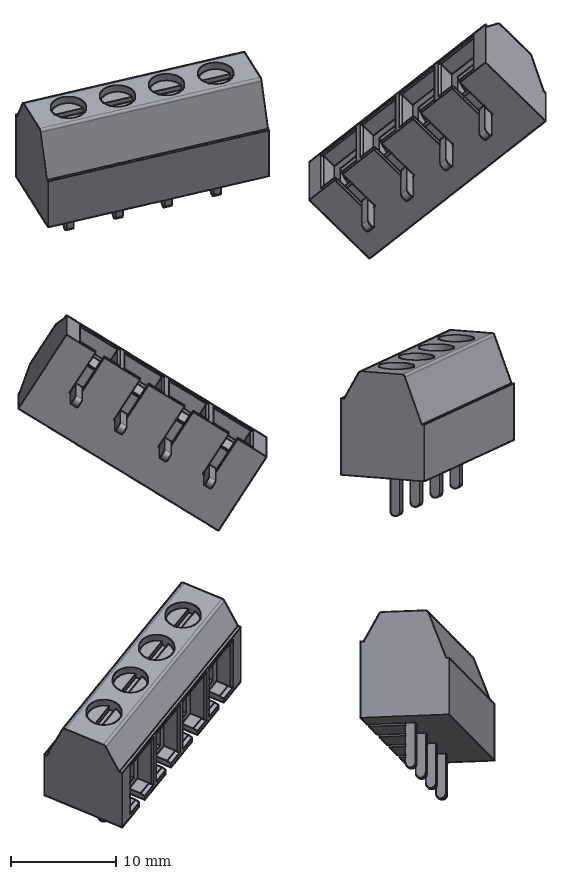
import cadquery as cq
import math

length = 22.5
width = 8.6
height = 10.2
poles = 4
pitch = 5.0

wire_ledge_z = 7.4
rear_ledge_z = 5.5
wire_ledge_width = 0.32
rear_ledge_width = 0.27
top_left_x = -2.38
top_right_x = 2.2
top_edge_radius = 0.34

pocket_width = 4.12
pocket_floor_z = 0.7
pocket_top_z = 6.8
pocket_depth = 1.69
wall_flare = 0.2
wall_flare_depth = 0.2
roof_flare = 0.2
roof_flare_depth = 0.14
floor_flare = 0.15
floor_flare_depth = 0.43

chamber_width = 2.63
chamber_floor_z = 1.42
chamber_top_z = 5.45
guide_bottom_z = 3.8
guide_radius = 2.5

terminal_x = -0.11
bore_diameter = 3.4
bore_depth = 2.02
screw_diameter = 3.3
screw_recess = 0.76
screw_slot_width = 0.68
screw_slot_depth = 0.52

pin_width = 0.97
pin_thickness = 0.75
pin_drop = 4.3
groove_width = 0.97

wire_face_x = -width / 2
rear_face_x = width / 2
terminal_places = [(i - (poles - 1) / 2) * pitch for i in range(poles)]


def block(x_min, x_max, y_size, z_min, z_max):
    """Box centred on Y = 0 between the given X and Z limits."""
    box = cq.Workplane("XY").box(x_max - x_min, y_size, z_max - z_min, centered=(False, True, False))
    return box.translate((x_min, 0, z_min))


def make_housing():
    profile = [
        (wire_face_x, 0),
        (wire_face_x, wire_ledge_z),
        (wire_face_x + wire_ledge_width, wire_ledge_z),
        (top_left_x, height),
        (top_right_x, height),
        (rear_face_x - rear_ledge_width, rear_ledge_z),
        (rear_face_x, rear_ledge_z),
        (rear_face_x, 0),
    ]
    housing = cq.Workplane("XZ").polyline(profile).close().extrude(length / 2, both=True)
    return housing.faces(">Z").edges("|Y").fillet(top_edge_radius)


def make_pocket():
    back_x = wire_face_x + pocket_depth
    half_width = pocket_width / 2
    side_outline = [
        (wire_face_x, pocket_floor_z - floor_flare),
        (wire_face_x + floor_flare_depth, pocket_floor_z),
        (back_x, pocket_floor_z),
        (back_x, pocket_top_z),
        (wire_face_x + roof_flare_depth, pocket_top_z),
        (wire_face_x, pocket_top_z + roof_flare),
    ]
    plan_outline = [
        (wire_face_x, -half_width - wall_flare),
        (wire_face_x + wall_flare_depth, -half_width),
        (back_x, -half_width),
        (back_x, half_width),
        (wire_face_x + wall_flare_depth, half_width),
        (wire_face_x, half_width + wall_flare),
    ]
    side_shape = cq.Workplane("XZ").polyline(side_outline).close().extrude(pitch / 2, both=True)
    plan_shape = cq.Workplane("XY").polyline(plan_outline).close().extrude(height)
    return side_shape.intersect(plan_shape)


def make_chamber():
    front_x = wire_face_x + pocket_depth
    guide_centre_z = guide_bottom_z + guide_radius
    guide_angle = math.acos((guide_centre_z - chamber_top_z) / guide_radius)
    back_x = front_x + guide_radius * math.sin(guide_angle)
    guide_middle = (
        back_x - guide_radius * math.sin(guide_angle / 2),
        guide_centre_z - guide_radius * math.cos(guide_angle / 2),
    )
    return (
        cq.Workplane("XZ")
        .moveTo(front_x, chamber_floor_z)
        .lineTo(front_x, chamber_top_z)
        .threePointArc(guide_middle, (back_x, guide_bottom_z))
        .lineTo(back_x, chamber_floor_z)
        .close()
        .extrude(chamber_width / 2, both=True)
    )


def make_groove():
    return block(wire_face_x, terminal_x + pin_width / 2, groove_width, 0, pocket_floor_z)


def make_bore():
    return (
        cq.Workplane("XY", origin=(terminal_x, 0, height - bore_depth))
        .circle(bore_diameter / 2)
        .extrude(bore_depth)
    )


def make_screw():
    screw_top = height - screw_recess
    screw = (
        cq.Workplane("XY", origin=(terminal_x, 0, height - bore_depth))
        .circle(screw_diameter / 2)
        .extrude(bore_depth - screw_recess)
    )
    half_slot = screw_slot_width / 2
    slot = block(
        terminal_x - half_slot,
        terminal_x + half_slot,
        bore_diameter,
        screw_top - screw_slot_depth,
        screw_top,
    )
    return screw.cut(slot)


def make_pin():
    radius = pin_width / 2
    tip_centre_z = radius - pin_drop
    return (
        cq.Workplane("XZ")
        .moveTo(terminal_x - radius, pocket_floor_z)
        .lineTo(terminal_x - radius, tip_centre_z)
        .threePointArc((terminal_x, -pin_drop), (terminal_x + radius, tip_centre_z))
        .lineTo(terminal_x + radius, pocket_floor_z)
        .close()
        .extrude(pin_thickness / 2, both=True)
    )


result = make_housing()
for y in terminal_places:
    for opening in (make_pocket(), make_chamber(), make_groove(), make_bore()):
        result = result.cut(opening.translate((0, y, 0)))
    for metal in (make_screw(), make_pin()):
        result = result.union(metal.translate((0, y, 0)))